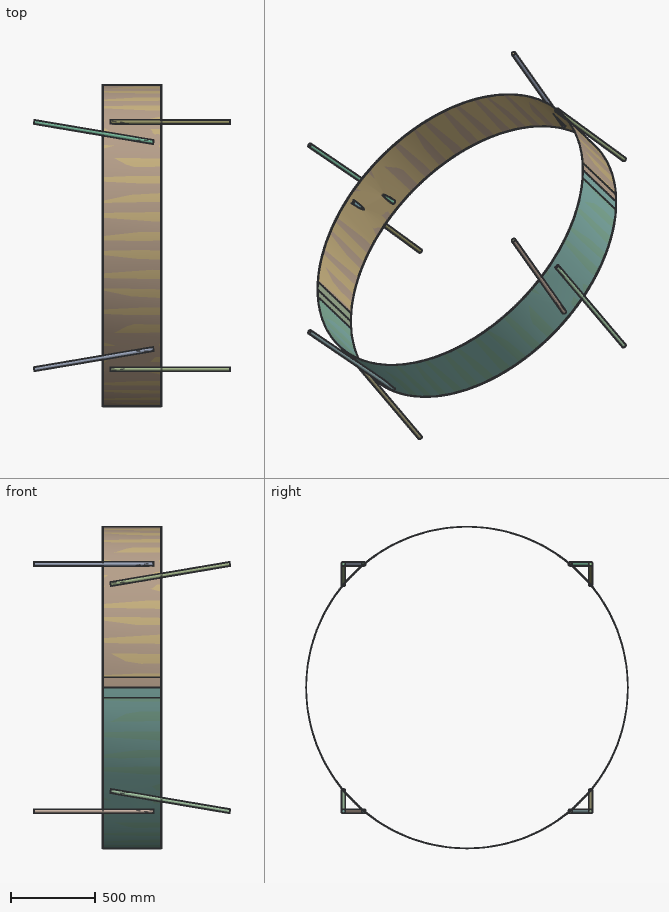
import cadquery as cq
import math

overall_length = 1168.36
hoop_diameter = 1913.0
hoop_width = 356.0
hoop_wall = 1.2

edge_step_width = 6.0
edge_step_depth = 0.6

seam_gap = 1.0
seam_depth = 0.6
strap_height = 120.0
strap_thickness = 0.6

strut_diameter = 25.0
strut_length = 720.0
strut_lean = math.radians(9.6)
strut_corner = 734.5

hoop_radius = hoop_diameter / 2
inner_radius = hoop_radius - hoop_wall
strut_radius = strut_diameter / 2
strut_start_x = overall_length / 2 - strut_radius * math.sin(strut_lean)


def tube(outer, inner, width):
    """Tube about the X axis, centred on the origin."""
    return (
        cq.Workplane("YZ")
        .workplane(offset=-width / 2)
        .circle(outer)
        .circle(inner)
        .extrude(width)
    )


def make_hoop():
    """Thin hoop with stepped edges, two butt joints and their backing straps."""
    edge_band = tube(hoop_radius - edge_step_depth, inner_radius, hoop_width)
    main_band = tube(hoop_radius, inner_radius, hoop_width - 2 * edge_step_width)

    strap_ring = tube(inner_radius, inner_radius - strap_thickness, hoop_width)
    strap_zone = cq.Workplane("XY").box(hoop_width, hoop_diameter, strap_height)
    straps = strap_ring.intersect(strap_zone)

    skin = tube(hoop_radius, hoop_radius - seam_depth, hoop_width)
    seam_zone = cq.Workplane("XY").box(hoop_width, hoop_diameter, seam_gap)
    seams = skin.intersect(seam_zone)

    return edge_band.union(main_band).union(straps).cut(seams)


def make_strut(end, side_y, side_z):
    """Round strut from the corner (side_y, side_z) at the X end `end` (-1 or +1).

    Struts from the -X end lean in along Y, struts from the +X end lean in along Z.
    """
    start = cq.Vector(end * strut_start_x, side_y * strut_corner, side_z * strut_corner)
    along = -end * math.cos(strut_lean)
    inward = math.sin(strut_lean)
    if end < 0:
        direction = cq.Vector(along, -side_y * inward, 0)
    else:
        direction = cq.Vector(along, 0, -side_z * inward)
    return cq.Workplane(obj=cq.Solid.makeCylinder(strut_radius, strut_length, start, direction))


struts = [
    make_strut(end, side_y, side_z)
    for end in (-1, 1)
    for side_y in (-1, 1)
    for side_z in (-1, 1)
]

*loose_struts, fixed_strut = struts
hoop = make_hoop()
for strut in loose_struts:
    hoop = hoop.cut(strut)
hoop = hoop.union(fixed_strut)

result = cq.Compound.makeCompound([*hoop.vals(), *[strut.val() for strut in loose_struts]])